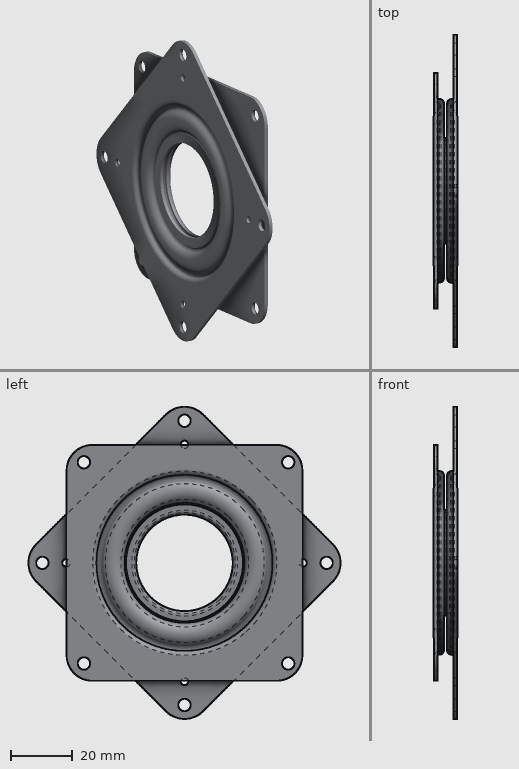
import cadquery as cq
import math

tip_to_tip = 101.1
plate_side = 76.4
total_depth = 8.0
sheet = 1.2
hump_rise = 0.2
half_gap = 0.4

half_side = plate_side / 2
corner_radius = (half_side * math.sqrt(2) - tip_to_tip / 2) / (math.sqrt(2) - 1)

screw_diameter = 3.9
base_screw_radius = 46.0
pilot_diameter = 2.4
pilot_radius = 38.3
top_screw_y_plus = 32.6
top_screw_y_minus = 33.6
top_screw_z = 32.6

dish_radius = 30.3
dish_wall_radius = 28.5
hump_outer = 26.7
hump_inner = 19.7
seat_outer = 19.4
dish_back_radius = 29.8
dish_back_bend = 1.8
hump_foot_rise = 0.4
race_half_width = 2.5

eyelet_diameter = 34.3
bore_radius = 15.6
flange_radius = 18.9
flange_thickness = 0.6
lip_radius = 1.3
relief_radius = 16.4
relief_start = -0.2
relief_end = 1.2

hump_top = -total_depth / 2
face_x = hump_top + hump_rise
plate_back_x = face_x + sheet
pressed_back_x = -half_gap
seat_x = pressed_back_x - sheet
hump_foot_x = seat_x - hump_foot_rise
flange_x = seat_x - flange_thickness
eyelet_radius = eyelet_diameter / 2
axis_start = (0, 0)
axis_end = (1, 0)


def revolve_about_x(profile):
    """Revolve a closed profile of (x, radius) points about the X axis."""
    return profile.close().revolve(360, axis_start, axis_end)


def holes(points, diameter):
    """Cutters along X at the given (y, z) points."""
    return (cq.Workplane("YZ").workplane(offset=-total_depth).pushPoints(points)
            .circle(diameter / 2).extrude(2 * total_depth))


def race():
    """Pressed dish with a rounded hump that holds the balls."""
    hump_middle = (hump_outer + hump_inner) / 2
    valley_middle = (dish_wall_radius + hump_outer) / 2
    bend_x = pressed_back_x - dish_back_bend
    bend_mid = dish_back_bend * math.sqrt(0.5)
    fold = dish_radius - dish_wall_radius
    fold_x = face_x + fold
    fold_mid = fold * (1 - math.sqrt(0.5))
    profile = (
        cq.Workplane("XY")
        .moveTo(face_x, dish_radius)
        .threePointArc((face_x + fold_mid, dish_wall_radius + fold_mid), (fold_x, dish_wall_radius))
        .threePointArc((seat_x, valley_middle), (hump_foot_x, hump_outer))
        .threePointArc((hump_top, hump_middle), (hump_foot_x, hump_inner))
        .lineTo(seat_x, seat_outer)
        .lineTo(seat_x, eyelet_radius)
        .lineTo(pressed_back_x, eyelet_radius)
        .lineTo(pressed_back_x, hump_middle - race_half_width)
        .threePointArc((hump_top + sheet, hump_middle),
                       (pressed_back_x, hump_middle + race_half_width))
        .lineTo(pressed_back_x, dish_back_radius - dish_back_bend)
        .threePointArc((bend_x + bend_mid, dish_back_radius - dish_back_bend + bend_mid),
                       (bend_x, dish_back_radius))
        .lineTo(plate_back_x, dish_back_radius)
        .lineTo(plate_back_x, dish_radius)
    )
    return revolve_about_x(profile)


def pressed_plate():
    """Square plate on the -X side with its ball race, without screw holes."""
    square = (cq.Workplane("YZ").workplane(offset=face_x).rect(plate_side, plate_side)
              .extrude(sheet).edges("|X").fillet(corner_radius))
    opening = (cq.Workplane("YZ").workplane(offset=face_x)
               .circle(dish_radius).extrude(sheet))
    return square.cut(opening).union(race())


def eyelet():
    """Flanged tube with a rolled entry and a relieved bore."""
    roll_x = flange_x + lip_radius
    roll_mid = lip_radius * (1 - math.sqrt(0.5))
    profile = (
        cq.Workplane("XY")
        .moveTo(flange_x, flange_radius)
        .lineTo(flange_x, bore_radius + lip_radius)
        .threePointArc((flange_x + roll_mid, bore_radius + roll_mid), (roll_x, bore_radius))
        .lineTo(relief_start, bore_radius)
        .lineTo(relief_start, relief_radius)
        .lineTo(relief_end, relief_radius)
        .lineTo(relief_end, bore_radius)
        .lineTo(-flange_x, bore_radius)
        .lineTo(-flange_x, flange_radius)
        .lineTo(-seat_x, flange_radius)
        .lineTo(-seat_x, eyelet_radius)
        .lineTo(seat_x, eyelet_radius)
        .lineTo(seat_x, flange_radius)
    )
    return revolve_about_x(profile)


def axis_points(radius):
    """Four (y, z) points on the Y and Z axes at one radius."""
    return [(radius, 0), (0, radius), (-radius, 0), (0, -radius)]


def make_top_plate():
    """Plate on the -X side, free to turn on the eyelet."""
    corners = [(y, z)
               for y in (-top_screw_y_minus, top_screw_y_plus)
               for z in (-top_screw_z, top_screw_z)]
    return pressed_plate().cut(holes(corners, screw_diameter))


def make_base_plate():
    """Plate on the +X side, turned by 45 degrees and carrying the eyelet."""
    plate = pressed_plate().mirror("YZ").rotate((0, 0, 0), (1, 0, 0), 45)
    plate = plate.union(eyelet())
    plate = plate.cut(holes(axis_points(base_screw_radius), screw_diameter))
    return plate.cut(holes(axis_points(pilot_radius), pilot_diameter))


top_plate = make_top_plate()
base_plate = make_base_plate()

result = cq.Compound.makeCompound([top_plate.solids().val(), base_plate.solids().val()])